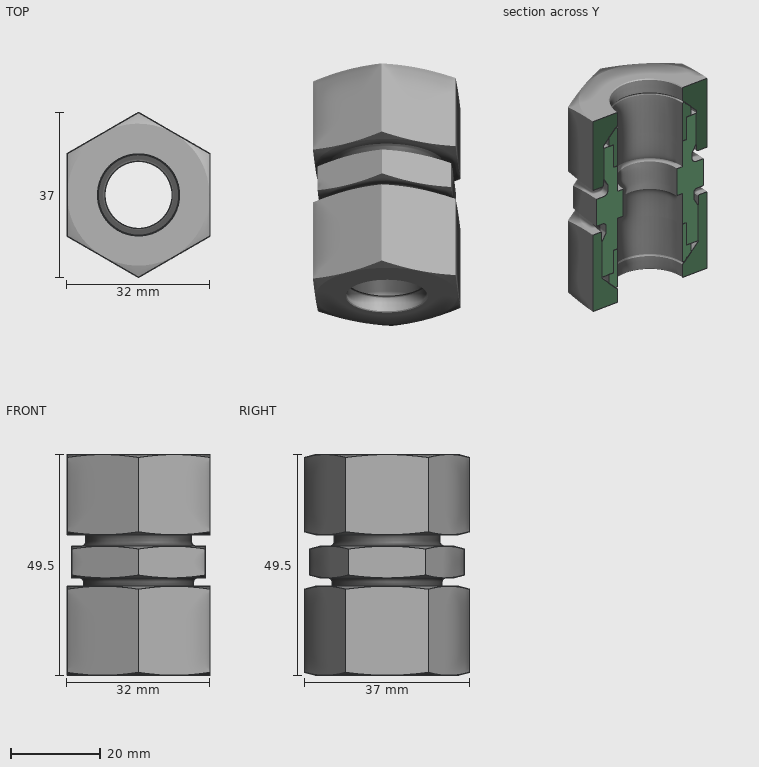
import cadquery as cq
import math

total_height = 49.5

nut_width = 32.05
upper_nut_height = 18.0
lower_nut_height = 20.0
nut_bore_diameter = 18.0
nut_bore_depth = 3.45
nut_rim_chamfer = 0.2
nut_mouth_chamfer = 0.25

body_hex_width = 30.0
body_hex_bottom = 21.85
body_hex_height = 7.15
upper_thread_diameter = 26.0
lower_thread_diameter = 27.0
thread_undercut = 2.3
neck_length = 2.35
run_out_angle = 30.0
run_out_fillet = 0.75
upper_neck_fillet = 1.1
lower_neck_fillet = 0.9
through_bore_diameter = 15.0
tube_diameter = 18.0
body_end_depth = 8.0

ring_rear_depth = 4.0
ring_front_depth = 13.85
ring_collar_diameter = 23.0
ring_sleeve_diameter = 20.3

corner_angle = 15.0
corner_inset = 0.1

body_hex_top = body_hex_bottom + body_hex_height
cut_margin = 0.5


def cylinder(diameter, bottom, top):
    """Solid cylinder on the Z axis."""
    return cq.Workplane("XY").workplane(offset=bottom).circle(diameter / 2).extrude(top - bottom)


def revolved(points):
    """Solid made by turning an (r, z) outline around the Z axis."""
    return cq.Workplane("XZ").polyline(points).close().revolve(360, (0, 0), (0, 1))


def chamfered_hexagon(width, height):
    """Hexagonal prism from Z = 0 with both ends turned to a shallow cone."""
    corner_diameter = 2 * width / math.sqrt(3)
    prism = cq.Workplane("XY").polygon(6, corner_diameter).extrude(height)
    prism = prism.rotate((0, 0, 0), (0, 0, 1), 30)
    face_radius = width / 2 - corner_inset
    outer_radius = corner_diameter / 2 + cut_margin
    drop = (outer_radius - face_radius) * math.tan(math.radians(corner_angle))
    envelope = revolved([
        (0, 0),
        (face_radius, 0),
        (outer_radius, drop),
        (outer_radius, height - drop),
        (face_radius, height),
        (0, height),
    ])
    return prism.intersect(envelope)


def union_nut(height, thread_diameter):
    """Hexagon nut with its outer face at Z = 0 and its threaded end at Z = height."""
    bore_radius = nut_bore_diameter / 2
    thread_radius = thread_diameter / 2
    cone_end = nut_bore_depth + thread_radius - bore_radius
    cavity = revolved([
        (0, 0),
        (bore_radius + nut_rim_chamfer, 0),
        (bore_radius, nut_rim_chamfer),
        (bore_radius, nut_bore_depth),
        (thread_radius, cone_end),
        (thread_radius, height - nut_mouth_chamfer),
        (thread_radius + nut_mouth_chamfer, height),
        (0, height),
    ])
    return chamfered_hexagon(nut_width, height).cut(cavity)


def compression_ring():
    """Ring seated in the 45 degree cone of a nut whose outer face is at Z = 0."""
    bore_radius = tube_diameter / 2
    sleeve_radius = ring_sleeve_diameter / 2
    collar_radius = ring_collar_diameter / 2
    rear_radius = nut_bore_diameter / 2 + ring_rear_depth - nut_bore_depth
    collar_depth = ring_rear_depth + collar_radius - rear_radius
    return revolved([
        (bore_radius, ring_rear_depth),
        (rear_radius, ring_rear_depth),
        (collar_radius, collar_depth),
        (collar_radius, body_end_depth),
        (sleeve_radius, body_end_depth),
        (sleeve_radius, ring_front_depth),
        (bore_radius, ring_front_depth),
    ])


def threaded_end(thread_diameter, length, fillet):
    """Body end rising from a hexagon face at Z = 0: filleted neck, run-out cone, plain thread."""
    thread_radius = thread_diameter / 2
    neck_radius = thread_radius - thread_undercut / 2
    arc_middle = fillet * (1 - math.sqrt(0.5))

    def run_out_point(angle):
        """Point (r, z) on the run-out fillet, turned by an angle from its start on the neck."""
        return (
            neck_radius + run_out_fillet * (1 - math.cos(angle)),
            neck_length + run_out_fillet * math.sin(angle),
        )

    slope = math.radians(run_out_angle)
    cone_start_radius, cone_start_height = run_out_point(slope)
    cone_end_height = cone_start_height + (thread_radius - cone_start_radius) / math.tan(slope)
    return (
        cq.Workplane("XZ")
        .lineTo(neck_radius + fillet, 0)
        .threePointArc((neck_radius + arc_middle, arc_middle), (neck_radius, fillet))
        .lineTo(neck_radius, neck_length)
        .threePointArc(run_out_point(slope / 2), (cone_start_radius, cone_start_height))
        .lineTo(thread_radius, cone_end_height)
        .lineTo(thread_radius, length)
        .lineTo(0, length)
        .close()
        .revolve(360, (0, 0), (0, 1))
    )


def hanging(part, height):
    """Turn a part built up from Z = 0 so that it hangs down from the given height."""
    return part.rotate((0, 0, 0), (1, 0, 0), 180).translate((0, 0, height))


def coupling_body():
    """Central hexagon with a threaded end on each side, bored for the tubes and the rings."""
    lower_end = body_end_depth
    upper_end = total_height - body_end_depth
    lower_part = threaded_end(lower_thread_diameter, body_hex_bottom - lower_end, lower_neck_fillet)
    lower_part = hanging(lower_part, body_hex_bottom)
    upper_part = threaded_end(upper_thread_diameter, upper_end - body_hex_top, upper_neck_fillet)
    upper_part = upper_part.translate((0, 0, body_hex_top))
    hexagon = chamfered_hexagon(body_hex_width, body_hex_height).translate((0, 0, body_hex_bottom))
    body = hexagon.union(lower_part).union(upper_part)

    body = body.cut(cylinder(through_bore_diameter, lower_end, upper_end))
    body = body.cut(cylinder(tube_diameter, lower_end, body_hex_bottom))
    body = body.cut(cylinder(tube_diameter, body_hex_top, upper_end))

    recess = cylinder(ring_sleeve_diameter, body_end_depth, ring_front_depth)
    return body.cut(recess).cut(hanging(recess, total_height))


body = coupling_body()
lower_nut = union_nut(lower_nut_height, lower_thread_diameter)
upper_nut = hanging(union_nut(upper_nut_height, upper_thread_diameter), total_height)

rings = []
for is_upper in (False, True):
    ring = compression_ring()
    if is_upper:
        ring = hanging(ring, total_height)
    rings.append(ring)

result = cq.Compound.makeCompound([
    body.val(),
    lower_nut.val(),
    upper_nut.val(),
    *[ring.val() for ring in rings],
])